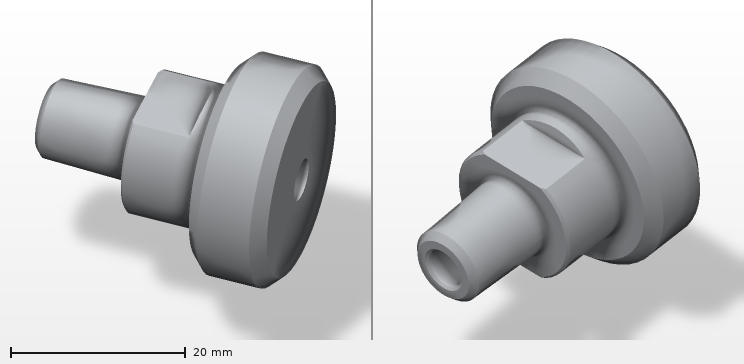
import cadquery as cq
import math

total_length = 31.0
flange_radius = 26.4 / 2
flange_width = 9.5
flange_chamfer = 1.58
flange_start = total_length - flange_width

hub_radius = 17.0 / 2
hub_start = 12.0
hub_chamfer = 0.3
flats_spacing = 14.0
flat_length = 7.05
flat_end_angle = 15.0

spigot_tip_radius = 4.7
spigot_chamfer = 0.8
taper_slope = 1 / 32

root_fillet = 0.5

bore_radius = 5.0 / 2
bore_chamfer = 0.3


def add_root_fillet(profile, shoulder_x, radius):
    """Continue the profile with a concave quarter arc ending on a shoulder."""
    half_diagonal = root_fillet * math.sqrt(0.5)
    middle = (
        shoulder_x - root_fillet + half_diagonal,
        radius + root_fillet - half_diagonal,
    )
    return profile.threePointArc(middle, (shoulder_x, radius + root_fillet))


def make_body():
    """Revolve the half outline of the spigot, hub and flange around X."""
    spigot_end = hub_start - root_fillet
    spigot_end_radius = spigot_tip_radius + taper_slope * (spigot_end - spigot_chamfer)

    profile = (
        cq.Workplane("XY")
        .moveTo(0, 0)
        .lineTo(0, spigot_tip_radius - spigot_chamfer)
        .lineTo(spigot_chamfer, spigot_tip_radius)
        .lineTo(spigot_end, spigot_end_radius)
    )
    profile = add_root_fillet(profile, hub_start, spigot_end_radius)
    profile = (
        profile.lineTo(hub_start, hub_radius - hub_chamfer)
        .lineTo(hub_start + hub_chamfer, hub_radius)
        .lineTo(flange_start - root_fillet, hub_radius)
    )
    profile = add_root_fillet(profile, flange_start, hub_radius)
    profile = (
        profile.lineTo(flange_start, flange_radius - flange_chamfer)
        .lineTo(flange_start + flange_chamfer, flange_radius)
        .lineTo(total_length - flange_chamfer, flange_radius)
        .lineTo(total_length, flange_radius - flange_chamfer)
        .lineTo(total_length, 0)
        .close()
    )
    return profile.revolve(360, (0, 0, 0), (1, 0, 0))


def make_flat_cutter(side):
    """Wedge-ended block that cuts the flat on the +Z (1) or -Z (-1) side."""
    flat_height = flats_spacing / 2
    flat_end = hub_start + flat_length
    cut_height = hub_radius - flat_height
    runout = cut_height * math.tan(math.radians(flat_end_angle))
    return (
        cq.Workplane("XZ")
        .polyline([
            (hub_start, side * flat_height),
            (flat_end, side * flat_height),
            (flat_end + runout, side * hub_radius),
            (hub_start, side * hub_radius),
        ])
        .close()
        .extrude(hub_radius, both=True)
    )


def make_bore():
    """Through bore with a chamfered mouth at the spigot tip."""
    return (
        cq.Workplane("XY")
        .polyline([
            (0, 0),
            (0, bore_radius + bore_chamfer),
            (bore_chamfer, bore_radius),
            (total_length, bore_radius),
            (total_length, 0),
        ])
        .close()
        .revolve(360, (0, 0, 0), (1, 0, 0))
    )


result = make_body().cut(make_bore())
for side in (1, -1):
    result = result.cut(make_flat_cutter(side))